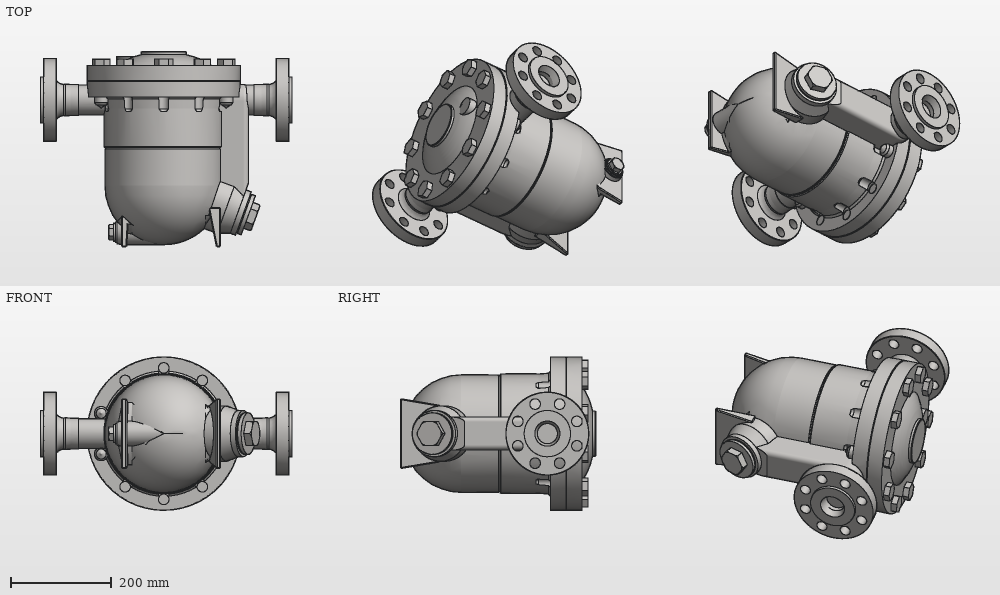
import cadquery as cq
import math


PIPE_END_LEFT = -245.0
PIPE_END_RIGHT = 255.0
PIPE_Y = 1.0
PIPE_RADIUS = 30.0
COLLAR_RADIUS = 31.0
COLLAR_END = 75.5
RAISED_FACE_RADIUS = 46.0
RAISED_FACE_HEIGHT = 6.5
FLANGE_RADIUS = 82.5
FLANGE_THICKNESS = 26.0
FLANGE_EDGE_CHAMFER = 1.0
NECK_RADIUS = 38.0
NECK_LENGTH = 13.0
NECK_ARC_FRACTION = 0.4
WELD_RADIUS = 32.0
WELD_CREST = 50.0
WELD_END = 60.0
FLANGE_HOLE_COUNT = 8
FLANGE_HOLE_DIAMETER = 21.0
FLANGE_HOLE_CIRCLE_RADIUS = 63.5
BORE_MOUTH_RADIUS = 25.0
BORE_RADIUS = 20.0
BORE_TAPER_DEPTH = 15.0
BORE_DEPTH = 25.0

DOME_RADIUS = 117.0
DOME_CENTER_Y = -169.5
DOME_BOTTOM_Y = DOME_CENTER_Y - DOME_RADIUS
BARREL_RADIUS = 119.0
BARREL_TOP_Y = -16.5
BARREL_BOTTOM_Y = -93.5
SEAM_GROOVE_WIDTH = 3.0
SEAM_GROOVE_RADIUS = 115.5
BARREL_CHAMFER = 2.0
THROAT_RADIUS = 120.5
THROAT_FLARE = 4.0

RIM_RADIUS = 152.5
RIM_BOTTOM_Y = 7.0
RIM_JOINT_Y = 38.0
RIM_TOP_Y = 70.0
JOINT_GROOVE = 1.5
RIM_FLAT_TAPER = 3.5
BOLT_COUNT = 10
BOLT_CIRCLE_RADIUS = 130.5
BOLT_HEAD_CORNER_DIAMETER = 36.0
BOLT_HEAD_HEIGHT = 12.0
STUD_HOLE_RADIUS = 10.5
STUD_HOLE_DEPTH = 1.0
SCOOP_CIRCLE_RADIUS = 123.5
SCOOP_TIP_RADIUS = 7.0
SCOOP_TIP_LENGTH = 5.5
NUT_RADIUS = 13.5
NUT_TOP_RADIUS = 10.0
NUT_SHOULDER_Y = -4.0
NUT_TOP_Y = -8.5
NUT_TIP_RADIUS = 3.5
NUT_TIP_Y = -15.5

CROWN_BASE_RADIUS = 94.5
CROWN_MID_RADIUS = 73.0
CROWN_MID_Y = 82.0
CAP_RADIUS = 45.0
CAP_BOTTOM_Y = 91.0
CAP_TOP_Y = 97.5
CAP_CHAMFER = 1.5
PAD_RADIUS = 18.0
PAD_TOP_Y = 87.0
PAD_X = -75.5

PASSAGE_RIGHT_X = 168.5
PASSAGE_TOP_Y = 32.0
PASSAGE_HALF_WIDTH = 33.0
PASSAGE_TOP_ROUND = 32.5
PASSAGE_FILLET = 10.0
PASSAGE_INNER_X = 50.0
HOLDER_FACE_X = 168.0
HOLDER_FACE_Y = -228.0
HOLDER_TILT = 20.0
HOLDER_LENGTH = 110.0
HOLDER_ROOT_RADIUS = 55.0
HOLDER_RADIUS = 46.0
HOLDER_CONE_START = 46.0
HOLDER_CONE_END = 21.5
HOLDER_END = 10.5
GASKET_RADIUS = 40.0
GASKET_END = 8.0
HOLDER_CAP_RADIUS = 41.5
HOLDER_HEX_CORNERS = 55.0
HOLDER_HEX_HEIGHT = 15.5
HOLDER_HEX_FACE = 50.0

DRAIN_RADIUS = 25.0
DRAIN_Y = DOME_BOTTOM_Y + DRAIN_RADIUS
DRAIN_BOSS_RADIUS = 23.0
DRAIN_BOSS_X = -92.5
DRAIN_WASHER_RADIUS = 20.5
DRAIN_WASHER_X = -96.0
DRAIN_COLLAR_RADIUS = 18.0
DRAIN_COLLAR_X = -99.5
DRAIN_HEX_CORNERS = 31.0
DRAIN_HEX_FACE = 27.0
DRAIN_HEX_X = -109.5

FOOT_BOTTOM_Y = -290.5
FOOT_BOTTOM_HALF_WIDTH = 69.5
FOOT_CORNER_Y = -228.5
FOOT_CORNER_HALF_WIDTH = 59.0
FOOT_BEVEL = 2.0
FOOT_WELD_RISE = 6.0
FOOT_WELD_ROOT = 3.0
FOOT_WELD_WIDTH = 8.0
FOOT_WELD_SINK = 1.0
LEFT_FOOT_X = -83.5
LEFT_FOOT_BOTTOM_THICKNESS = 10.0
LEFT_FOOT_TOP_THICKNESS = 14.0
RIGHT_FOOT_X = 112.5
RIGHT_FOOT_TOP_Y = -212.5
RIGHT_FOOT_BOTTOM_THICKNESS = 8.0
RIGHT_FOOT_TOP_THICKNESS = 23.5

OVERLAP = 5.0


def turned_about_y(points):
    """Solid of revolution from (radius, y) points."""
    return cq.Workplane("XY").polyline(points).close().revolve(360, (0, 0, 0), (0, 1, 0))


def turned_about_x(points):
    """Solid of revolution from (x, radius) points."""
    return cq.Workplane("XY").polyline(points).close().revolve(360, (0, 0, 0), (1, 0, 0))


def bolt_angles():
    step = 360 / BOLT_COUNT
    return [90 + i * step for i in range(BOLT_COUNT)]


def around_axis(solid, radius, angle):
    """Move a solid built on the Y axis out along +X, then turn it about Y (towards +Z)."""
    return solid.translate((radius, 0, 0)).rotate((0, 0, 0), (0, 1, 0), -angle)


def make_body():
    groove_bottom = BARREL_BOTTOM_Y - SEAM_GROOVE_WIDTH
    flare_y = RIM_BOTTOM_Y - THROAT_FLARE
    diagonal = DOME_RADIUS * math.sqrt(0.5)
    return (
        cq.Workplane("XY")
        .moveTo(0, DOME_BOTTOM_Y)
        .threePointArc((diagonal, DOME_CENTER_Y - diagonal), (DOME_RADIUS, DOME_CENTER_Y))
        .lineTo(DOME_RADIUS, groove_bottom)
        .lineTo(SEAM_GROOVE_RADIUS, groove_bottom)
        .lineTo(SEAM_GROOVE_RADIUS, BARREL_BOTTOM_Y)
        .lineTo(BARREL_RADIUS - BARREL_CHAMFER, BARREL_BOTTOM_Y)
        .lineTo(BARREL_RADIUS, BARREL_BOTTOM_Y + BARREL_CHAMFER)
        .lineTo(BARREL_RADIUS, BARREL_TOP_Y)
        .lineTo(THROAT_RADIUS, flare_y)
        .lineTo(THROAT_RADIUS + THROAT_FLARE, RIM_BOTTOM_Y)
        .lineTo(THROAT_RADIUS + THROAT_FLARE, RIM_BOTTOM_Y + OVERLAP)
        .lineTo(0, RIM_BOTTOM_Y + OVERLAP)
        .close()
        .revolve(360, (0, 0, 0), (0, 1, 0))
    )


def make_rim():
    """Body and cover flanges with the joint groove and the two tapered flats beside the pipes."""
    groove_radius = RIM_RADIUS - JOINT_GROOVE
    rim = turned_about_y([
        (0, RIM_BOTTOM_Y),
        (RIM_RADIUS, RIM_BOTTOM_Y),
        (RIM_RADIUS, RIM_JOINT_Y),
        (groove_radius, RIM_JOINT_Y),
        (groove_radius, RIM_JOINT_Y + JOINT_GROOVE),
        (RIM_RADIUS, RIM_JOINT_Y + JOINT_GROOVE),
        (RIM_RADIUS, RIM_TOP_Y),
        (0, RIM_TOP_Y),
    ])
    wedge = (
        cq.Workplane("XY")
        .polyline([
            (RIM_RADIUS, RIM_JOINT_Y),
            (RIM_RADIUS - RIM_FLAT_TAPER, RIM_BOTTOM_Y),
            (RIM_RADIUS, RIM_BOTTOM_Y),
        ])
        .close()
        .extrude(RIM_RADIUS / 2, both=True)
    )
    return rim.cut(wedge).cut(wedge.mirror("YZ"))


def make_crown():
    """Domed cover crown with its round cap and side pad."""
    root_y = RIM_TOP_Y - OVERLAP
    crown = (
        cq.Workplane("XY")
        .moveTo(0, root_y)
        .lineTo(CROWN_BASE_RADIUS, root_y)
        .lineTo(CROWN_BASE_RADIUS, RIM_TOP_Y)
        .threePointArc((CROWN_MID_RADIUS, CROWN_MID_Y), (CAP_RADIUS, CAP_BOTTOM_Y))
        .lineTo(CAP_RADIUS, CAP_TOP_Y - CAP_CHAMFER)
        .lineTo(CAP_RADIUS - CAP_CHAMFER, CAP_TOP_Y)
        .lineTo(0, CAP_TOP_Y)
        .close()
        .revolve(360, (0, 0, 0), (0, 1, 0))
    )
    pad = turned_about_y([
        (0, root_y),
        (PAD_RADIUS, root_y),
        (PAD_RADIUS, PAD_TOP_Y),
        (0, PAD_TOP_Y),
    ])
    return crown.union(pad.translate((PAD_X, 0, 0)))


def make_bolt_head():
    height = BOLT_HEAD_HEIGHT + OVERLAP
    return (
        cq.Workplane("XZ", origin=(0, RIM_TOP_Y - OVERLAP, 0))
        .transformed(rotate=(0, 0, 90))
        .polygon(6, BOLT_HEAD_CORNER_DIAMETER)
        .extrude(-height)
    )


def make_scoop():
    """Clearance hollow in the throat below a stud."""
    return turned_about_y([
        (0, RIM_BOTTOM_Y),
        (STUD_HOLE_RADIUS, RIM_BOTTOM_Y),
        (STUD_HOLE_RADIUS, BARREL_TOP_Y),
        (SCOOP_TIP_RADIUS, BARREL_TOP_Y - SCOOP_TIP_LENGTH),
        (0, BARREL_TOP_Y - SCOOP_TIP_LENGTH),
    ])


def make_stud_hole():
    return turned_about_y([
        (0, RIM_BOTTOM_Y - OVERLAP),
        (STUD_HOLE_RADIUS, RIM_BOTTOM_Y - OVERLAP),
        (STUD_HOLE_RADIUS, RIM_BOTTOM_Y + STUD_HOLE_DEPTH),
        (0, RIM_BOTTOM_Y + STUD_HOLE_DEPTH),
    ])


def make_nut():
    """Domed nut with a pointed stud tip."""
    tip_base_y = NUT_TOP_Y - NUT_TIP_RADIUS
    return turned_about_y([
        (0, RIM_BOTTOM_Y + OVERLAP),
        (NUT_RADIUS, RIM_BOTTOM_Y + OVERLAP),
        (NUT_RADIUS, NUT_SHOULDER_Y),
        (NUT_TOP_RADIUS, NUT_TOP_Y),
        (NUT_TIP_RADIUS, tip_base_y),
        (0, NUT_TIP_Y),
    ])


def is_beside_pipe(angle):
    """True for the four bolts nearest the pipe axis."""
    return abs(math.sin(math.radians(angle))) < math.sin(math.radians(360 / BOLT_COUNT))


def make_pipe(inner_length):
    """Flanged pipe with its end face at x = 0, running towards +X."""
    flange_front = RAISED_FACE_HEIGHT
    flange_back = flange_front + FLANGE_THICKNESS
    neck_end = flange_back + NECK_LENGTH
    neck_drop = NECK_RADIUS - COLLAR_RADIUS
    pipe = (
        cq.Workplane("XY")
        .moveTo(0, 0)
        .lineTo(0, RAISED_FACE_RADIUS)
        .lineTo(flange_front, RAISED_FACE_RADIUS)
        .lineTo(flange_front, FLANGE_RADIUS)
        .lineTo(flange_back - FLANGE_EDGE_CHAMFER, FLANGE_RADIUS)
        .lineTo(flange_back, FLANGE_RADIUS - FLANGE_EDGE_CHAMFER)
        .lineTo(flange_back, NECK_RADIUS)
        .threePointArc(
            (
                flange_back + NECK_LENGTH * NECK_ARC_FRACTION,
                COLLAR_RADIUS + neck_drop * NECK_ARC_FRACTION,
            ),
            (neck_end, COLLAR_RADIUS),
        )
        .lineTo(WELD_CREST, WELD_RADIUS)
        .lineTo(WELD_END, COLLAR_RADIUS)
        .lineTo(COLLAR_END, COLLAR_RADIUS)
        .lineTo(COLLAR_END, PIPE_RADIUS)
        .lineTo(inner_length, PIPE_RADIUS)
        .lineTo(inner_length, 0)
        .close()
        .revolve(360, (0, 0, 0), (1, 0, 0))
    )
    bore = turned_about_x([
        (0, 0),
        (0, BORE_MOUTH_RADIUS),
        (BORE_TAPER_DEPTH, BORE_RADIUS),
        (BORE_DEPTH, BORE_RADIUS),
        (BORE_DEPTH, 0),
    ])
    holes = (
        cq.Workplane("YZ")
        .polarArray(FLANGE_HOLE_CIRCLE_RADIUS, 180 / FLANGE_HOLE_COUNT, 360, FLANGE_HOLE_COUNT)
        .circle(FLANGE_HOLE_DIAMETER / 2)
        .extrude(flange_back)
    )
    return pipe.cut(bore).cut(holes)


def make_hex_plug(corners, face_diameter, height):
    """Hexagon head along +X from x = 0, two corners in the XY plane, outer corners bevelled."""
    bevel = (corners - face_diameter) / 2
    hexagon = cq.Workplane("YZ", origin=(-OVERLAP, 0, 0)).polygon(6, corners).extrude(height + OVERLAP)
    envelope = turned_about_x([
        (-OVERLAP, 0),
        (-OVERLAP, corners / 2),
        (height - bevel, corners / 2),
        (height, face_diameter / 2),
        (height, 0),
    ])
    return hexagon.intersect(envelope)


def make_holder():
    """Inclined screen holder built along X with the cap face at x = 0, then tilted into place."""
    holder = turned_about_x([
        (-HOLDER_LENGTH, 0),
        (-HOLDER_LENGTH, HOLDER_ROOT_RADIUS),
        (-HOLDER_CONE_START, HOLDER_ROOT_RADIUS),
        (-HOLDER_CONE_END, HOLDER_RADIUS),
        (-HOLDER_END, HOLDER_RADIUS),
        (-HOLDER_END, GASKET_RADIUS),
        (-GASKET_END, GASKET_RADIUS),
        (-GASKET_END, HOLDER_CAP_RADIUS),
        (0, HOLDER_CAP_RADIUS),
        (0, 0),
    ])
    holder = holder.union(make_hex_plug(HOLDER_HEX_CORNERS, HOLDER_HEX_FACE, HOLDER_HEX_HEIGHT))
    tilted = holder.rotate((0, 0, 0), (0, 0, 1), -HOLDER_TILT)
    return tilted.translate((HOLDER_FACE_X, HOLDER_FACE_Y, 0))


def make_passage():
    """Outlet passage down the side of the body, ending inside the holder."""
    axis_x = math.cos(math.radians(HOLDER_TILT))
    axis_y = -math.sin(math.radians(HOLDER_TILT))
    end_x = HOLDER_FACE_X - HOLDER_CONE_END * axis_x
    end_y = HOLDER_FACE_Y - HOLDER_CONE_END * axis_y
    edge_y = end_y + (PASSAGE_RIGHT_X - end_x) * axis_x / -axis_y
    inner_y = end_y + (end_x - PASSAGE_INNER_X) * -axis_y / axis_x
    return (
        cq.Workplane("XY")
        .polyline([
            (PASSAGE_INNER_X, PASSAGE_TOP_Y),
            (PASSAGE_RIGHT_X, PASSAGE_TOP_Y),
            (PASSAGE_RIGHT_X, edge_y),
            (end_x, end_y),
            (PASSAGE_INNER_X, inner_y),
        ])
        .close()
        .extrude(PASSAGE_HALF_WIDTH, both=True)
        .edges("|X and >Y")
        .fillet(PASSAGE_TOP_ROUND)
        .faces(">X")
        .edges("not |Z")
        .fillet(PASSAGE_FILLET)
    )


def make_drain():
    """Drain boss tangent to the dome bottom, with washer and hexagon plug."""
    drain = turned_about_x([
        (0, 0),
        (0, DRAIN_RADIUS),
        (LEFT_FOOT_X, DRAIN_RADIUS),
        (DRAIN_BOSS_X, DRAIN_BOSS_RADIUS),
        (DRAIN_BOSS_X, DRAIN_WASHER_RADIUS),
        (DRAIN_WASHER_X, DRAIN_WASHER_RADIUS),
        (DRAIN_WASHER_X, DRAIN_COLLAR_RADIUS),
        (DRAIN_COLLAR_X, DRAIN_COLLAR_RADIUS),
        (DRAIN_COLLAR_X, 0),
    ])
    plug = make_hex_plug(DRAIN_HEX_CORNERS, DRAIN_HEX_FACE, DRAIN_COLLAR_X - DRAIN_HEX_X)
    return drain.union(plug.mirror("YZ").translate((DRAIN_COLLAR_X, 0, 0))).translate((0, DRAIN_Y, 0))


def make_foot_outline(x_start, x_end, top_y):
    """Prism along X whose sides spread towards the foot bottom."""
    side_slope = (FOOT_BOTTOM_HALF_WIDTH - FOOT_CORNER_HALF_WIDTH) / (FOOT_CORNER_Y - FOOT_BOTTOM_Y)
    top_half_width = FOOT_BOTTOM_HALF_WIDTH - side_slope * (top_y - FOOT_BOTTOM_Y)
    return (
        cq.Workplane("YZ", origin=(x_start, 0, 0))
        .polyline([
            (FOOT_BOTTOM_Y, -FOOT_BOTTOM_HALF_WIDTH),
            (FOOT_BOTTOM_Y, FOOT_BOTTOM_HALF_WIDTH),
            (top_y, top_half_width),
            (top_y, -top_half_width),
        ])
        .close()
        .extrude(x_end - x_start)
    )


def make_foot(face_x, bottom_x, top_x, top_y):
    """Foot plate with a flat outer face, a sloping inner face and bevelled edges."""
    section = (
        cq.Workplane("XY")
        .polyline([
            (face_x, FOOT_BOTTOM_Y),
            (bottom_x, FOOT_BOTTOM_Y),
            (top_x, top_y),
            (face_x, top_y),
        ])
        .close()
        .extrude(FOOT_BOTTOM_HALF_WIDTH, both=True)
    )
    outline = make_foot_outline(min(face_x, top_x), max(face_x, top_x), top_y)
    return section.intersect(outline).edges().chamfer(FOOT_BEVEL)


def dome_section_radius(x):
    return math.sqrt(DOME_RADIUS ** 2 - x ** 2)


def make_foot_weld(root_x, toe_x):
    """Sloping weld between the inner face of a foot at root_x and the dome at toe_x."""
    root_radius = dome_section_radius(root_x)
    toe_radius = dome_section_radius(toe_x)
    ring = turned_about_x([
        (root_x, root_radius - OVERLAP),
        (root_x, root_radius + FOOT_WELD_RISE),
        (toe_x, toe_radius - FOOT_WELD_SINK),
        (toe_x, toe_radius - OVERLAP),
    ]).translate((0, DOME_CENTER_Y, 0))
    return ring.intersect(make_foot_outline(min(root_x, toe_x), max(root_x, toe_x), FOOT_CORNER_Y))


body = make_body().union(make_rim())
for angle in bolt_angles():
    body = body.cut(around_axis(make_scoop(), SCOOP_CIRCLE_RADIUS, angle))
    body = body.cut(around_axis(make_stud_hole(), BOLT_CIRCLE_RADIUS, angle))

left_pipe = make_pipe(-PIPE_END_LEFT).translate((PIPE_END_LEFT, PIPE_Y, 0))
right_pipe = make_pipe(PIPE_END_RIGHT).mirror("YZ").translate((PIPE_END_RIGHT, PIPE_Y, 0))
left_foot_inner_x = LEFT_FOOT_X + LEFT_FOOT_TOP_THICKNESS
left_foot = make_foot(
    LEFT_FOOT_X,
    LEFT_FOOT_X + LEFT_FOOT_BOTTOM_THICKNESS,
    left_foot_inner_x,
    FOOT_CORNER_Y,
)
right_foot_inner_x = RIGHT_FOOT_X - RIGHT_FOOT_TOP_THICKNESS
right_foot = make_foot(
    RIGHT_FOOT_X,
    RIGHT_FOOT_X - RIGHT_FOOT_BOTTOM_THICKNESS,
    right_foot_inner_x,
    RIGHT_FOOT_TOP_Y,
)
left_weld = make_foot_weld(left_foot_inner_x - FOOT_WELD_ROOT, left_foot_inner_x + FOOT_WELD_WIDTH)
right_weld = make_foot_weld(right_foot_inner_x + FOOT_WELD_ROOT, right_foot_inner_x - FOOT_WELD_WIDTH)

result = (
    body.union(make_crown())
    .union(left_pipe)
    .union(right_pipe)
    .union(make_passage())
    .union(make_holder())
    .union(make_drain())
    .union(left_foot.union(left_weld))
    .union(right_foot.union(right_weld))
)
for angle in bolt_angles():
    result = result.union(around_axis(make_bolt_head(), BOLT_CIRCLE_RADIUS, angle))
    if is_beside_pipe(angle):
        result = result.union(around_axis(make_nut(), BOLT_CIRCLE_RADIUS, angle))